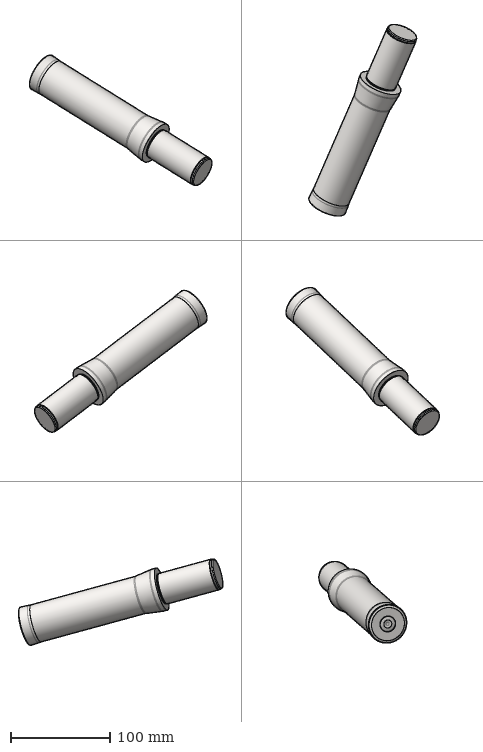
import cadquery as cq

LENGTH = 207.0
LEFT_END = -LENGTH / 2

CAP_LENGTH = 12.8
CAP_TAPER_END = 10.4
FLARE_BEVEL_START = 124.5
FLARE_START = 125.6
FLARE_END = 141.8
COLLAR_END = 147.0

BARREL_DIAMETER = 39.0
FLARE_DIAMETER = 39.5
COLLAR_DIAMETER = 44.0
COLLAR_BEVEL_RISE = 0.1
SHANK_DIAMETER = 32.0
RELIEF_DIAMETER = 31.5
CAP_RIM_DIAMETER = 40.2
CAP_TAPER_DIAMETER = 39.3
CAP_CREST_DIAMETER = 34.4
CAP_SHOULDER_DIAMETER = 39.0

CAP_FACE_DISH = 0.2
CAP_SHOULDER = 0.8
CAP_EDGE = 1.5
COLLAR_BEVEL_LENGTH = 0.8
RELIEF_LENGTH = 1.0
RELIEF_RAMP = 0.6
END_GROOVE_START = 203.5
END_GROOVE_RAMP = 0.6
END_CHAMFER = 1.2

GROOVE_DIAMETER = 16.1
BOSS_DIAMETER = 15.1
GROOVE_DEPTH = 1.2
BOSS_TOP_DIAMETER = 8.3
BOSS_TOP_DEPTH = 0.6
DISH_FLOOR_DIAMETER = 3.3
DISH_DEPTH = 1.2
DISH_APEX_DEPTH = 1.5


def at(distance, diameter):
    """Profile point at a distance from the left end, on a given diameter."""
    return (LEFT_END + distance, diameter / 2)


def turn(profile):
    """Revolve a closed half profile about the X axis."""
    return profile.close().revolve(360, (0, 0, 0), (1, 0, 0))


def make_cap():
    return turn(
        cq.Workplane("XY")
        .moveTo(*at(DISH_APEX_DEPTH, 0))
        .lineTo(*at(DISH_DEPTH, DISH_FLOOR_DIAMETER))
        .lineTo(*at(BOSS_TOP_DEPTH, BOSS_TOP_DIAMETER))
        .lineTo(*at(GROOVE_DEPTH, BOSS_DIAMETER))
        .lineTo(*at(GROOVE_DEPTH, GROOVE_DIAMETER))
        .lineTo(*at(CAP_FACE_DISH, GROOVE_DIAMETER))
        .lineTo(*at(0, CAP_CREST_DIAMETER))
        .lineTo(*at(CAP_SHOULDER, CAP_SHOULDER_DIAMETER))
        .lineTo(*at(CAP_EDGE, CAP_RIM_DIAMETER))
        .lineTo(*at(CAP_TAPER_END, CAP_TAPER_DIAMETER))
        .lineTo(*at(CAP_LENGTH, BARREL_DIAMETER))
        .lineTo(*at(CAP_LENGTH, 0))
    )


def make_pillar():
    relief_end = COLLAR_END + RELIEF_LENGTH
    groove_floor = END_GROOVE_START + END_GROOVE_RAMP
    chamfer_start = LENGTH - END_CHAMFER
    end_diameter = RELIEF_DIAMETER - END_CHAMFER
    return turn(
        cq.Workplane("XY")
        .moveTo(*at(CAP_LENGTH, 0))
        .lineTo(*at(CAP_LENGTH, BARREL_DIAMETER))
        .lineTo(*at(FLARE_BEVEL_START, BARREL_DIAMETER))
        .lineTo(*at(FLARE_START, FLARE_DIAMETER))
        .lineTo(*at(FLARE_END, COLLAR_DIAMETER - 2 * COLLAR_BEVEL_RISE))
        .lineTo(*at(FLARE_END + COLLAR_BEVEL_LENGTH, COLLAR_DIAMETER))
        .lineTo(*at(COLLAR_END, COLLAR_DIAMETER))
        .lineTo(*at(COLLAR_END, RELIEF_DIAMETER))
        .lineTo(*at(relief_end, RELIEF_DIAMETER))
        .lineTo(*at(relief_end + RELIEF_RAMP, SHANK_DIAMETER))
        .lineTo(*at(END_GROOVE_START, SHANK_DIAMETER))
        .lineTo(*at(groove_floor, RELIEF_DIAMETER))
        .lineTo(*at(chamfer_start, RELIEF_DIAMETER))
        .lineTo(*at(LENGTH, end_diameter))
        .lineTo(*at(LENGTH, 0))
    )


cap = make_cap()
pillar = make_pillar()
result = cq.Compound.makeCompound([cap.val(), pillar.val()])